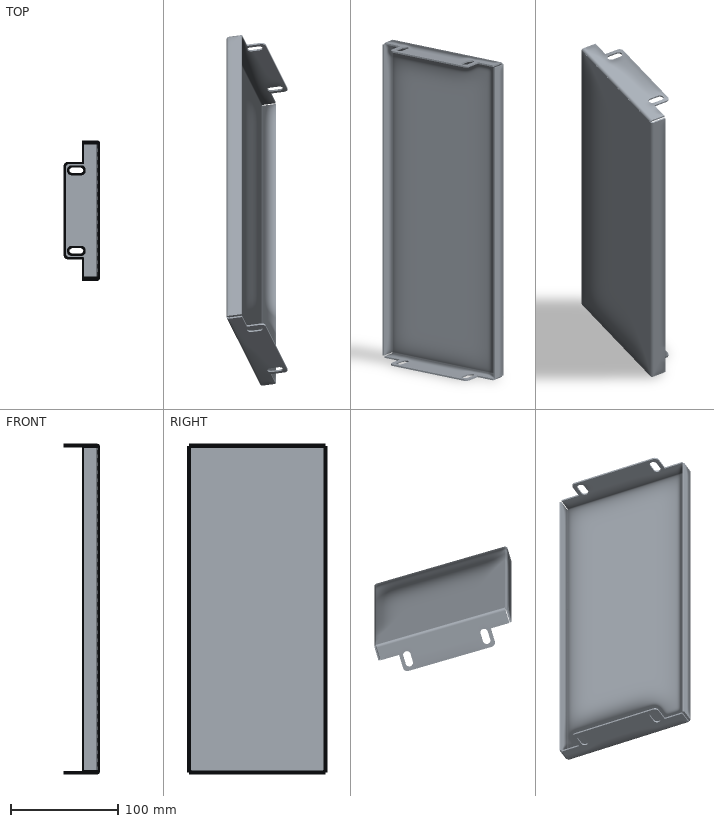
import cadquery as cq

depth = 32.0
width = 129.0
height = 306.0

thickness = 1.5
inner_bend_radius = 1.0
outer_bend_radius = thickness + inner_bend_radius
flange_depth = 15.0
corner_notch = 2.0

tab_width = 89.0
tab_corner_radius = 4.0
slot_length = 15.0
slot_width = 7.0
slot_spacing = 75.0
slot_edge_gap = 3.5

flange_edge_x = depth - flange_depth
slot_center_x = slot_edge_gap + slot_length / 2
end_flange_width = width - 2 * corner_notch


def slab(length_x, length_y, length_z):
    """Box starting at X = 0 and centred on the X axis in Y and Z."""
    return cq.Workplane("XY").box(length_x, length_y, length_z, centered=(False, True, True))


def bent_channel(span, length):
    """U-bent sheet running along Z: a panel at X = depth and two full-depth flanges `span` apart in Y."""
    outside = slab(depth, span, length).edges("|Z and >X").fillet(outer_bend_radius)
    inside = slab(depth - thickness, span - 2 * thickness, length)
    return outside.cut(inside.edges("|Z and >X").fillet(inner_bend_radius))


def side_flanged_panel():
    """Panel with the two long side flanges, trimmed to the flange depth."""
    channel = bent_channel(width, height - 2 * corner_notch)
    return channel.cut(slab(flange_edge_x, width, height))


def end_flanged_panel():
    """Panel with the top and bottom flanges, narrowed to the mounting tabs beyond the flange depth."""
    channel = bent_channel(height, end_flange_width).rotate((0, 0, 0), (1, 0, 0), 90)
    tab_outline = slab(depth, tab_width, height).edges("|Z and <X").fillet(tab_corner_radius)
    flange_outline = slab(flange_depth, end_flange_width, height).translate((flange_edge_x, 0, 0))
    return channel.intersect(tab_outline.union(flange_outline))


def tab_slots():
    """Two cutters for the four mounting slots, each passing through both tabs."""
    return (
        cq.Workplane("XY")
        .pushPoints([(slot_center_x, side * slot_spacing / 2) for side in (-1, 1)])
        .slot2D(slot_length, slot_width)
        .extrude(height / 2, both=True)
    )


result = side_flanged_panel().union(end_flanged_panel()).cut(tab_slots())